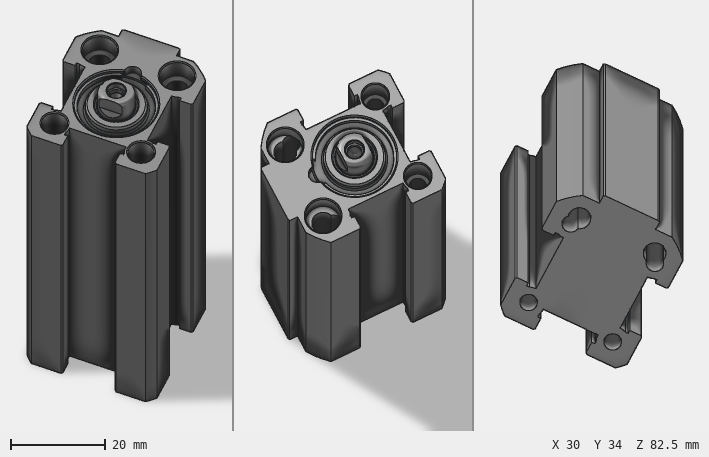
import cadquery as cq
import math

TOTAL_HEIGHT = 82.5
ROD_PROTRUSION = 4.45
HOUSING_HEIGHT = TOTAL_HEIGHT - ROD_PROTRUSION

HALF_WIDTH = 15.0
SHOULDER_Y = 16.9
TAB_Y = 19.0
TAB_HALF_WIDTH = 6.7
CORNER_RADIUS = 20.0

SLOT_FLOOR = 10.0
SLOT_MOUTH_WIDTH = 12.05
SLOT_INNER_WIDTH = 13.5
SLOT_LIP = 3.0
SLOT_EDGE_CHAMFER = 0.3
SCREW_BOSS_DIAMETER = 7.0

SCREW_SPACING = 2 * SLOT_FLOOR
SCREW_DIAMETER = 3.7
FRONT_BORE_DIAMETER = 5.6
FRONT_BORE_DEPTH = 7.0
BACK_HOLE_X = 8.9
BACK_HOLE_Y = 12.0
BACK_HOLE_DIAMETER = 4.8
BACK_BORE_DIAMETER = 7.5
BACK_BORE_DEPTH = 4.8
BORE_CHAMFER = 0.25

END_WALL = 7.0
BORE_DIAMETER = 17.9
BORE_MOUTH_DIAMETER = 18.5
NOTCH_DIAMETER = 3.8
NOTCH_CENTRE_Y = 8.8
SEAT_CHAMFER = 0.4

RING_GROOVE_DIAMETER = 19.0
RING_INNER_DIAMETER = 16.7
RING_TOP_DEPTH = 0.9
RING_THICKNESS = 1.3
RING_GAP_START = 65
RING_GAP_END = 105

COVER_THICKNESS = 11.4
COLLAR_DIAMETER = 13.2
COLLAR_BASE_DIAMETER = 14.0
COLLAR_CHAMFER = 0.4
COLLAR_TOP_DEPTH = 0.25
COVER_BORE_DIAMETER = 9.2
COVER_BORE_CHAMFER = 0.25

SEAL_TOP_DEPTH = 0.5
SEAL_HEIGHT = 2.5
SEAL_LIP_CHAMFER = 0.21

ROD_DIAMETER = 8.0
ROD_FILLET = 1.2
FLAT_WIDTH = 6.0
FLAT_BOTTOM_HEIGHT = 1.0
ROD_BORE_DIAMETER = 4.0
ROD_BORE_CHAMFER = 0.2
ROD_BORE_DEPTH = 1.65
ROD_DRILL_DIAMETER = 3.2
ROD_DRILL_DEPTH = 1.2
ROD_DRILL_POINT = 1.0

RING_TOP = HOUSING_HEIGHT - RING_TOP_DEPTH
RING_BOTTOM = RING_TOP - RING_THICKNESS
COVER_TOP = HOUSING_HEIGHT - COLLAR_TOP_DEPTH
COVER_BOTTOM = COVER_TOP - COVER_THICKNESS
SEAL_TOP = COVER_TOP - SEAL_TOP_DEPTH
SEAL_BOTTOM = SEAL_TOP - SEAL_HEIGHT


def cylinder(diameter, bottom, top, x=0.0, y=0.0):
    return cq.Workplane("XY", origin=(x, y, bottom)).circle(diameter / 2).extrude(top - bottom)


def cone(bottom_diameter, top_diameter, bottom, top, x=0.0, y=0.0):
    solid = cq.Solid.makeCone(bottom_diameter / 2, top_diameter / 2, top - bottom, cq.Vector(x, y, bottom))
    return cq.Workplane("XY").add(solid)


def block(x_min, x_max, y_min, y_max):
    """Rectangular prism over the full housing height."""
    return cq.Workplane("XY").box(
        x_max - x_min, y_max - y_min, HOUSING_HEIGHT, centered=False
    ).translate((x_min, y_min, 0))


def housing_profile():
    body = block(-HALF_WIDTH, HALF_WIDTH, -HALF_WIDTH, SHOULDER_Y)
    body = body.union(block(-TAB_HALF_WIDTH, TAB_HALF_WIDTH, 0, TAB_Y))
    return body.intersect(cylinder(2 * CORNER_RADIUS, 0, HOUSING_HEIGHT))


def slot_cutter():
    """T-slot opening toward -Y, with the screw bosses left standing in it."""
    half_mouth = SLOT_MOUTH_WIDTH / 2
    half_inner = SLOT_INNER_WIDTH / 2
    mouth = block(-half_mouth, half_mouth, -HALF_WIDTH, -SLOT_FLOOR)
    inner = block(-half_inner, half_inner, SLOT_LIP - HALF_WIDTH, -SLOT_FLOOR)
    half_flare = half_mouth + SLOT_EDGE_CHAMFER
    flare = (
        cq.Workplane("XY")
        .moveTo(-half_flare, -HALF_WIDTH)
        .lineTo(half_flare, -HALF_WIDTH)
        .lineTo(half_mouth, SLOT_EDGE_CHAMFER - HALF_WIDTH)
        .lineTo(-half_mouth, SLOT_EDGE_CHAMFER - HALF_WIDTH)
        .close()
        .extrude(HOUSING_HEIGHT)
    )
    cutter = mouth.union(inner).union(flare)
    for side in (-1, 1):
        cutter = cutter.cut(
            cylinder(SCREW_BOSS_DIAMETER, 0, HOUSING_HEIGHT, side * SCREW_SPACING / 2, -SCREW_SPACING / 2)
        )
    return cutter


def counterbore(diameter, depth, x, y):
    """Blind bore from the housing top with a chamfered mouth."""
    bore = cylinder(diameter, HOUSING_HEIGHT - depth, HOUSING_HEIGHT, x, y)
    mouth = cone(diameter, diameter + 2 * BORE_CHAMFER, HOUSING_HEIGHT - BORE_CHAMFER, HOUSING_HEIGHT, x, y)
    return bore.union(mouth)


def make_housing():
    """Extruded body with T-slots, screw holes and the stepped main bore."""
    body = housing_profile()
    for angle in (-90, 0, 90):
        body = body.cut(slot_cutter().rotate((0, 0, 0), (0, 0, 1), angle))

    for side in (-1, 1):
        screw_x = side * SCREW_SPACING / 2
        front_y = -SCREW_SPACING / 2
        back_x = side * BACK_HOLE_X
        back_hole_top = HOUSING_HEIGHT - BACK_BORE_DEPTH
        body = body.cut(cylinder(SCREW_DIAMETER, 0, HOUSING_HEIGHT, screw_x, front_y))
        body = body.cut(counterbore(FRONT_BORE_DIAMETER, FRONT_BORE_DEPTH, screw_x, front_y))
        body = body.cut(cylinder(SCREW_DIAMETER, 0, back_hole_top, screw_x, -front_y))
        body = body.cut(cylinder(BACK_HOLE_DIAMETER, 0, back_hole_top, back_x, BACK_HOLE_Y))
        body = body.cut(counterbore(BACK_BORE_DIAMETER, BACK_BORE_DEPTH, back_x, BACK_HOLE_Y))

    mouth_chamfer = (BORE_MOUTH_DIAMETER - BORE_DIAMETER) / 2
    body = body.cut(cylinder(BORE_DIAMETER, END_WALL, HOUSING_HEIGHT))
    body = body.cut(
        cone(BORE_DIAMETER, BORE_MOUTH_DIAMETER, HOUSING_HEIGHT - mouth_chamfer, HOUSING_HEIGHT)
    )
    body = body.cut(cylinder(RING_GROOVE_DIAMETER, RING_BOTTOM, RING_TOP))
    body = body.cut(
        cone(BORE_DIAMETER, BORE_DIAMETER + 2 * SEAT_CHAMFER, RING_BOTTOM - SEAT_CHAMFER, RING_BOTTOM)
    )
    notch = cylinder(NOTCH_DIAMETER, RING_BOTTOM, HOUSING_HEIGHT, 0, NOTCH_CENTRE_Y)
    return body.cut(notch)


def make_retaining_ring():
    """Open snap ring seated in the groove of the main bore."""
    ring = cylinder(RING_GROOVE_DIAMETER, RING_BOTTOM, RING_TOP)
    ring = ring.cut(cylinder(RING_INNER_DIAMETER, RING_BOTTOM, RING_TOP))
    reach = RING_GROOVE_DIAMETER
    gap = cq.Workplane("XY", origin=(0, 0, RING_BOTTOM))
    for angle in (RING_GAP_START, RING_GAP_END):
        gap = gap.lineTo(
            reach * math.cos(math.radians(angle)),
            reach * math.sin(math.radians(angle)),
        )
    return ring.cut(gap.close().extrude(RING_THICKNESS))


def make_rod_cover():
    """Flanged sleeve that closes the bore around the rod, with a pocket for the seal."""
    flange = cylinder(BORE_DIAMETER, COVER_BOTTOM, RING_BOTTOM)
    collar = cylinder(COLLAR_DIAMETER, COVER_BOTTOM, COVER_TOP).faces(">Z").chamfer(COLLAR_CHAMFER)
    flare_height = (COLLAR_BASE_DIAMETER - COLLAR_DIAMETER) / 2
    flare = cone(COLLAR_BASE_DIAMETER, COLLAR_DIAMETER, RING_BOTTOM, RING_BOTTOM + flare_height)
    cover = flange.union(collar).union(flare)
    cover = cover.cut(cylinder(ROD_DIAMETER, COVER_BOTTOM, SEAL_BOTTOM))
    cover = cover.cut(cylinder(COVER_BORE_DIAMETER, SEAL_BOTTOM, COVER_TOP))
    mouth = cone(
        COVER_BORE_DIAMETER,
        COVER_BORE_DIAMETER + 2 * COVER_BORE_CHAMFER,
        COVER_TOP - COVER_BORE_CHAMFER,
        COVER_TOP,
    )
    return cover.cut(mouth)


def make_seal():
    """Ring between rod and cover with a bevelled lip."""
    seal = cylinder(COVER_BORE_DIAMETER, SEAL_BOTTOM, SEAL_TOP)
    seal = seal.cut(cylinder(ROD_DIAMETER, SEAL_BOTTOM, SEAL_TOP))
    lip = cone(ROD_DIAMETER, ROD_DIAMETER + 2 * SEAL_LIP_CHAMFER, SEAL_TOP - SEAL_LIP_CHAMFER, SEAL_TOP)
    return seal.cut(lip)


def flat_cutter():
    """Material removed for the flat on the +Y side of the rod."""
    flat_y = FLAT_WIDTH / 2
    reach = ROD_DIAMETER - flat_y
    flat_z = HOUSING_HEIGHT + FLAT_BOTTOM_HEIGHT
    return (
        cq.Workplane("YZ", origin=(-ROD_DIAMETER / 2, 0, 0))
        .moveTo(flat_y, TOTAL_HEIGHT)
        .lineTo(flat_y, flat_z)
        .lineTo(flat_y + reach, flat_z - reach)
        .lineTo(flat_y + reach, TOTAL_HEIGHT)
        .close()
        .extrude(ROD_DIAMETER)
    )


def make_rod():
    """Round rod with two wrench flats and a drilled end."""
    rod = cylinder(ROD_DIAMETER, END_WALL, TOTAL_HEIGHT).faces(">Z").edges().fillet(ROD_FILLET)
    for angle in (0, 180):
        rod = rod.cut(flat_cutter().rotate((0, 0, 0), (0, 0, 1), angle))
    bore_bottom = TOTAL_HEIGHT - ROD_BORE_DEPTH
    rod = rod.cut(cylinder(ROD_BORE_DIAMETER, bore_bottom, TOTAL_HEIGHT))
    rod = rod.cut(
        cone(
            ROD_BORE_DIAMETER,
            ROD_BORE_DIAMETER + 2 * ROD_BORE_CHAMFER,
            TOTAL_HEIGHT - ROD_BORE_CHAMFER,
            TOTAL_HEIGHT,
        )
    )
    drill_bottom = bore_bottom - ROD_DRILL_DEPTH
    rod = rod.cut(cylinder(ROD_DRILL_DIAMETER, drill_bottom, bore_bottom))
    return rod.cut(cone(0, ROD_DRILL_DIAMETER, drill_bottom - ROD_DRILL_POINT, drill_bottom))


housing = make_housing()
retaining_ring = make_retaining_ring()
rod_cover = make_rod_cover()
seal = make_seal()
rod = make_rod()

result = cq.Compound.makeCompound(
    [housing.val(), retaining_ring.val(), rod_cover.val(), seal.val(), rod.val()]
)